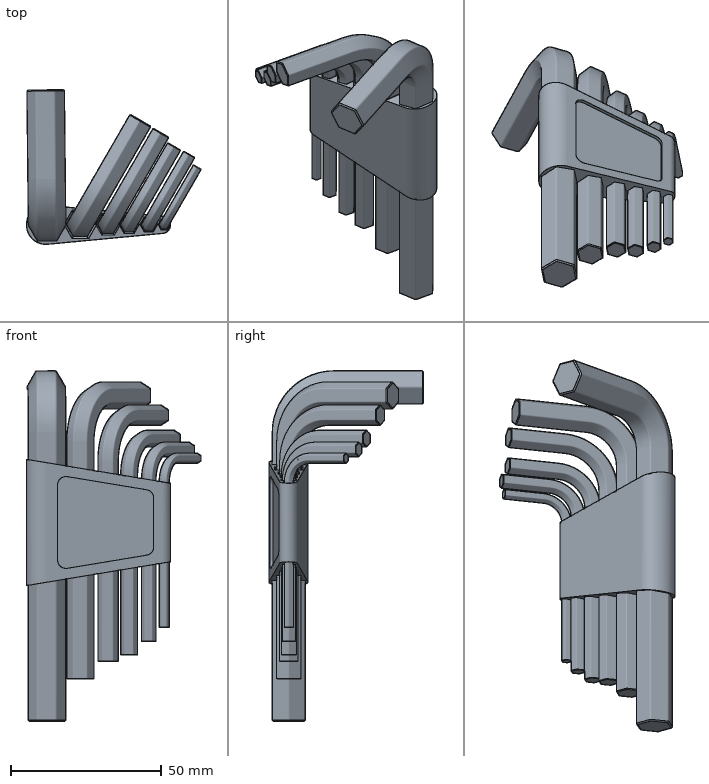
import cadquery as cq
import math


SMALL_KEY_TURN = 30.0
KEYS = [
    (0.0, 11.1, -66.1, 44.9, 15.0, 44.7, -0.6),
    (11.1, 8.0, -52.1, 42.2, 15.1, 40.0, SMALL_KEY_TURN),
    (20.3, 6.1, -46.3, 35.7, 15.1, 35.2, SMALL_KEY_TURN),
    (27.3, 5.0, -44.0, 27.9, 12.0, 30.0, SMALL_KEY_TURN),
    (33.8, 4.3, -39.6, 24.2, 10.0, 26.9, SMALL_KEY_TURN),
    (38.9, 3.0, -34.8, 21.3, 8.0, 22.0, SMALL_KEY_TURN),
]
EDGE_ROUND_RATIO = 0.07
END_CHAMFER_RATIO = 0.04

HOLDER_Y = -0.1
BIG_END_X = -0.3
BIG_END_RADIUS = 6.5
SMALL_END_X = 38.1
SMALL_END_RADIUS = 2.9
BIG_END_HALF_HEIGHT = 21.0
SMALL_END_HALF_HEIGHT = 13.0

RIM_CHAMFER_RATIO = 0.09
RIM_CHAMFER_ANGLE = 45

RECESS_LEFT_X = 3.5
RECESS_RIGHT_X = 35.4
RECESS_BORDER = 3.5
RECESS_CORNER_RADIUS = 2.8
RECESS_DEPTH = 1.0

HOLDER_LEFT_X = BIG_END_X - BIG_END_RADIUS
HOLDER_RIGHT_X = SMALL_END_X + SMALL_END_RADIUS
TOP_SLOPE = (SMALL_END_HALF_HEIGHT - BIG_END_HALF_HEIGHT) / (HOLDER_RIGHT_X - HOLDER_LEFT_X)
SIDE_ANGLE = math.asin((BIG_END_RADIUS - SMALL_END_RADIUS) / (SMALL_END_X - BIG_END_X))


def across_corners(across_flats):
    """Corner-to-corner width of a hexagon."""
    return across_flats / math.cos(math.radians(30))


def hex_prism(shank_x, across_flats, bottom_z, height):
    """Upright hexagonal bar with rounded edges and a flat facing -Y."""
    return (
        cq.Workplane("XY", origin=(shank_x, 0, bottom_z))
        .polygon(6, across_corners(across_flats))
        .extrude(height)
        .edges("|Z")
        .fillet(EDGE_ROUND_RATIO * across_flats)
    )


def hex_key(shank_x, across_flats, bottom_z, arm_z, bend_radius, reach, turn):
    """L-shaped hex key: the hexagon swept up the shank, round the bend and along the arm."""
    path = (
        cq.Workplane("YZ", origin=(shank_x, 0, 0))
        .moveTo(0, bottom_z)
        .lineTo(0, arm_z - bend_radius)
        .radiusArc((bend_radius, arm_z), bend_radius)
        .lineTo(reach, arm_z)
    )
    section = (
        hex_prism(shank_x, across_flats, bottom_z, across_flats)
        .rotate((shank_x, 0, 0), (shank_x, 0, 1), turn)
        .faces("<Z")
        .wires()
    )
    key = section.toPending().sweep(path)
    key = key.faces("<Z or >Y").chamfer(END_CHAMFER_RATIO * across_flats)
    return key.rotate((shank_x, 0, 0), (shank_x, 0, 1), -turn)


def half_height(x):
    """Half height of the holder at x."""
    return BIG_END_HALF_HEIGHT + TOP_SLOPE * (x - HOLDER_LEFT_X)


def sloped_outline(workplane, left_x, right_x, border):
    """Closed outline between two x positions, set in by border from the sloping holder edges."""
    left_z = half_height(left_x) - border
    right_z = half_height(right_x) - border
    corners = [(left_x, -left_z), (right_x, -right_z), (right_x, right_z), (left_x, left_z)]
    return workplane.polyline(corners).close()


def holder_plan_prism(inset):
    """Full-height bar with the holder plan, its round ends made smaller by inset."""
    big_radius = BIG_END_RADIUS - inset
    small_radius = SMALL_END_RADIUS - inset
    side_x, side_y = math.sin(SIDE_ANGLE), math.cos(SIDE_ANGLE)
    big_tangent = (BIG_END_X + big_radius * side_x, big_radius * side_y)
    small_tangent = (SMALL_END_X + small_radius * side_x, small_radius * side_y)
    return (
        cq.Workplane("XY", origin=(0, 0, -BIG_END_HALF_HEIGHT))
        .moveTo(big_tangent[0], -big_tangent[1])
        .lineTo(small_tangent[0], -small_tangent[1])
        .threePointArc((SMALL_END_X + small_radius, 0), small_tangent)
        .lineTo(*big_tangent)
        .threePointArc((BIG_END_X - big_radius, 0), (big_tangent[0], -big_tangent[1]))
        .close()
        .extrude(2 * BIG_END_HALF_HEIGHT)
    )


def label_recess():
    """Material removed for the label: the front skin of the holder inside the label outline."""
    front = cq.Workplane("XZ")
    label = (
        sloped_outline(front, RECESS_LEFT_X, RECESS_RIGHT_X, RECESS_BORDER)
        .extrude(2 * BIG_END_RADIUS)
        .edges("|Y")
        .fillet(RECESS_CORNER_RADIUS)
    )
    return label.cut(holder_plan_prism(RECESS_DEPTH))


def rim_chamfer(shank_x, across_flats):
    """Flared cutter that chamfers the upper rim of a key hole, square to the sloping holder top."""
    top_point = cq.Vector(shank_x, 0, half_height(shank_x))
    rim_plane = cq.Plane(top_point, xDir=(1, 0, TOP_SLOPE), normal=(-TOP_SLOPE, 0, 1))
    chamfer = RIM_CHAMFER_RATIO * across_flats
    rim_corners = across_corners(across_flats + 2 * chamfer)
    return cq.Workplane(rim_plane).polygon(6, rim_corners).extrude(-chamfer, taper=RIM_CHAMFER_ANGLE)


def make_holder(keys):
    """Holder with sloping ends, a label recess, chamfered hole rims and one through hole per key."""
    side_profile = sloped_outline(cq.Workplane("XZ"), HOLDER_LEFT_X, HOLDER_RIGHT_X, 0)
    body = holder_plan_prism(0).intersect(side_profile.extrude(BIG_END_RADIUS, both=True))
    body = body.cut(label_recess()).translate((0, HOLDER_Y, 0))
    for shank_x, across_flats, *_ in KEYS[1:]:
        body = body.cut(rim_chamfer(shank_x, across_flats))
    for key in keys:
        body = body.cut(key)
    return body


keys = [hex_key(*sizes) for sizes in KEYS]

holder = make_holder(keys)

result = cq.Compound.makeCompound([holder.val(), *[key.val() for key in keys]])